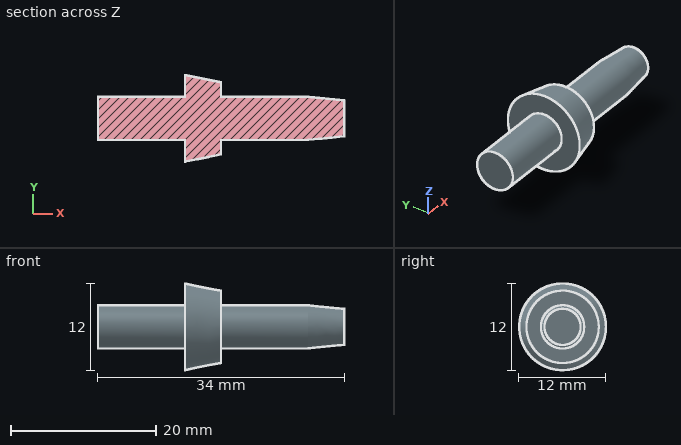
import cadquery as cq

total_length = 34.0
shank_diameter = 6.0
tip_diameter = 5.0
tip_length = 5.0
collar_start = 12.0
collar_length = 5.0
collar_large_diameter = 12.0
collar_small_diameter = 10.0

collar_end = collar_start + collar_length
tip_start = total_length - tip_length

half_profile = (
    cq.Workplane("XY")
    .moveTo(0, 0)
    .lineTo(0, shank_diameter / 2)
    .lineTo(collar_start, shank_diameter / 2)
    .lineTo(collar_start, collar_large_diameter / 2)
    .lineTo(collar_end, collar_small_diameter / 2)
    .lineTo(collar_end, shank_diameter / 2)
    .lineTo(tip_start, shank_diameter / 2)
    .lineTo(total_length, tip_diameter / 2)
    .lineTo(total_length, 0)
    .close()
)

pin = half_profile.revolve(360, (0, 0, 0), (1, 0, 0))
result = pin.translate((-total_length / 2, 0, 0))